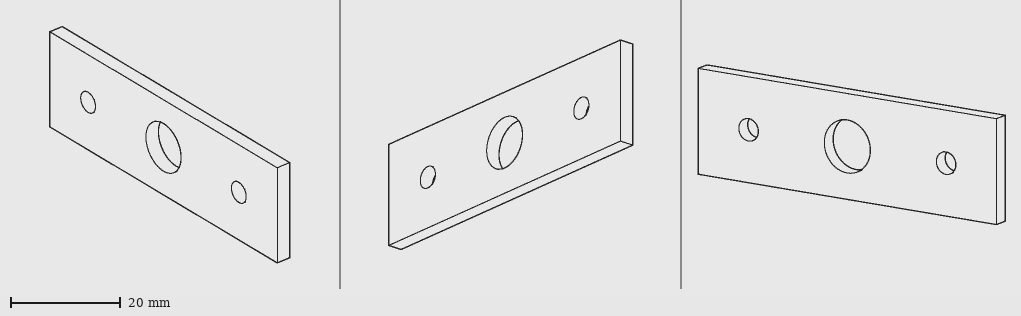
import cadquery as cq

length = 65.0
thickness = 3.0
height = 20.0

centre_hole_diameter = 10.0
side_hole_diameter = 4.2
side_hole_spacing = 43.0

plate = cq.Workplane("XY").box(length, thickness, height)

plate = plate.faces("<Y").workplane(origin=(0, 0, 0)).hole(centre_hole_diameter)

side_hole_x = side_hole_spacing / 2
result = (
    plate.faces("<Y")
    .workplane(origin=(0, 0, 0))
    .pushPoints([(-side_hole_x, 0), (side_hole_x, 0)])
    .hole(side_hole_diameter)
)